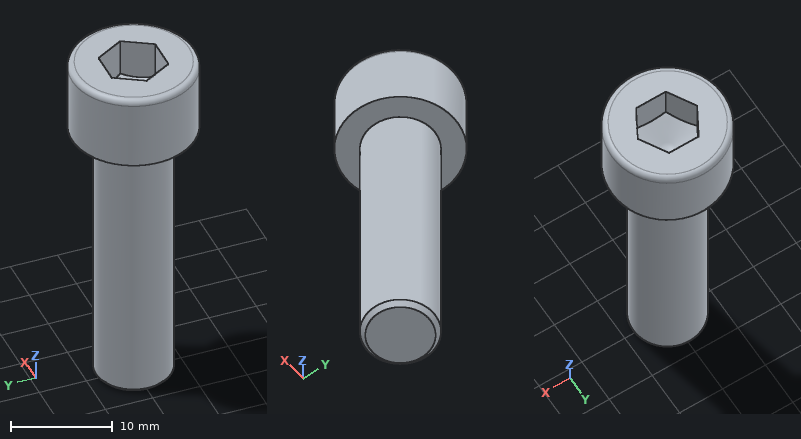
import cadquery as cq
import math

total_length = 38.0
head_diameter = 13.0
head_height = 7.98
shank_diameter = 7.98
head_fillet = 0.65
tip_chamfer = 0.55

socket_across_flats = 6.0
socket_depth = 4.0
floor_cone_angle = 120.0

shank_length = total_length - head_height
socket_across_corners = socket_across_flats / math.cos(math.radians(30))


def make_shank():
    shank = cq.Workplane("XY").circle(shank_diameter / 2).extrude(shank_length)
    return shank.faces("<Z").edges().chamfer(tip_chamfer)


def make_head():
    head = cq.Workplane("XY").workplane(offset=shank_length)
    head = head.circle(head_diameter / 2).extrude(head_height)
    return head.faces(">Z").edges().fillet(head_fillet)


def make_socket():
    """Hexagonal prism, corners on X, with its lower end trimmed to a downward cone."""
    corner_radius = socket_across_corners / 2
    cone_depth = corner_radius / math.tan(math.radians(floor_cone_angle / 2))
    floor_z = total_length - socket_depth
    hexagon = (
        cq.Workplane("XY")
        .workplane(offset=floor_z - cone_depth)
        .polygon(6, socket_across_corners)
        .extrude(socket_depth + cone_depth)
    )
    pointed_cylinder = (
        cq.Workplane("XZ")
        .moveTo(0, floor_z - cone_depth)
        .lineTo(corner_radius, floor_z)
        .lineTo(corner_radius, total_length)
        .lineTo(0, total_length)
        .close()
        .revolve(360, (0, 0, 0), (0, 1, 0))
    )
    return hexagon.intersect(pointed_cylinder)


result = make_shank().union(make_head()).cut(make_socket())